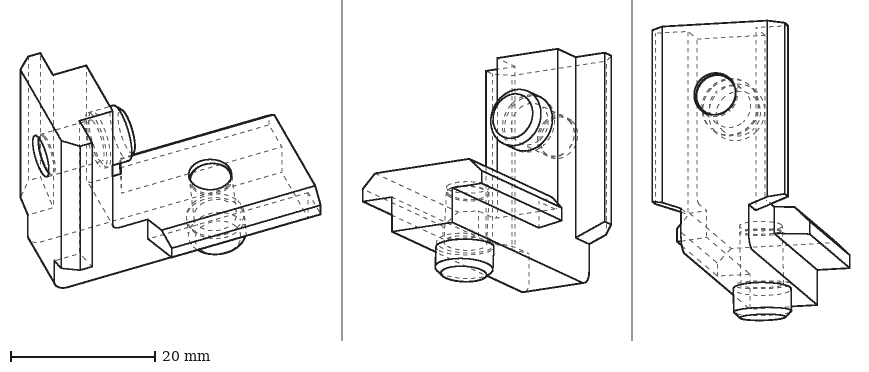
import cadquery as cq
import math

LEG_LENGTH = 38.0
LEG_HEIGHT = 32.0
LEG_THICKNESS = 8.78
STEM_WIDTH = 9.7
WING_WIDTH = 19.0
WING_THICKNESS = 3.8
WING_CHAMFER = 1.98
WING_END_ANGLE = 20.0
FLOOR_WING_START = 14.02
WALL_WING_START = 6.0
OUTER_CORNER_RADIUS = 2.0
INNER_CORNER_RADIUS = 1.0

HEAD_DIAMETER = 8.0
HEAD_CHAMFER = 0.85
SHANK_DIAMETER = 5.93
SHANK_CHAMFER = 0.15
SHANK_RECESS = 0.75
SCREW_REACH = 12.8
HEAD_SEAT_DEPTH = 0.57
FLOOR_SCREW_Y = 25.35
WALL_SCREW_Z = 22.0
FLOOR_SCREW_TILT = 5.0

HEAD_START = LEG_THICKNESS - HEAD_SEAT_DEPTH


def make_stem():
    """L-shaped stem, centred on X, with rounded inner and outer corners."""
    return (
        cq.Workplane("YZ")
        .polyline([
            (0, 0),
            (LEG_LENGTH, 0),
            (LEG_LENGTH, LEG_THICKNESS),
            (LEG_THICKNESS, LEG_THICKNESS),
            (LEG_THICKNESS, LEG_HEIGHT),
            (0, LEG_HEIGHT),
        ])
        .close()
        .extrude(STEM_WIDTH / 2, both=True)
        .edges(cq.selectors.NearestToPointSelector((0, 0, 0)))
        .fillet(OUTER_CORNER_RADIUS)
        .edges(cq.selectors.NearestToPointSelector((0, LEG_THICKNESS, LEG_THICKNESS)))
        .fillet(INNER_CORNER_RADIUS)
    )


def make_wing_plate(start, end):
    """Wing plate along +Y with its chamfered outer face at Z = 0 and its body below."""
    half_stem = STEM_WIDTH / 2
    half_wing = WING_WIDTH / 2
    end_slope = (half_wing - half_stem) * math.tan(math.radians(WING_END_ANGLE))
    outline = (
        cq.Workplane("XY")
        .polyline([
            (-half_stem, start),
            (half_stem, start),
            (half_wing, start + end_slope),
            (half_wing, end),
            (-half_wing, end),
            (-half_wing, start + end_slope),
        ])
        .close()
        .extrude(-WING_THICKNESS)
    )
    return outline.faces(">Z").edges("|Y").chamfer(WING_CHAMFER)


def on_floor_leg(shape):
    """Move a shape from the Z = 0 face to the top face of the horizontal leg."""
    return shape.translate((0, 0, LEG_THICKNESS))


def on_wall_leg(shape):
    """Turn a shape from the Z = 0 face, Y along the leg, to the front of the upright leg."""
    return shape.rotate((0, 0, 0), (1, 0, 0), 90)


def make_screw_hole():
    """Space for a screw along -Z from a leg face at Z = 0, extended past both sides."""
    shank_bore = cq.Workplane("XY").workplane(offset=SCREW_REACH).circle(SHANK_DIAMETER / 2)
    head_seat = cq.Workplane("XY").workplane(offset=-HEAD_START).circle(HEAD_DIAMETER / 2)
    return shank_bore.extrude(-2 * SCREW_REACH).union(head_seat.extrude(HEAD_START - SCREW_REACH))


def make_screw():
    """Screw along -Z, with the leg face at Z = 0."""
    shank = (
        cq.Workplane("XY")
        .workplane(offset=-SHANK_RECESS)
        .circle(SHANK_DIAMETER / 2)
        .extrude(SHANK_RECESS - HEAD_START)
        .faces(">Z")
        .chamfer(SHANK_CHAMFER)
    )
    head = (
        cq.Workplane("XY")
        .workplane(offset=-HEAD_START)
        .circle(HEAD_DIAMETER / 2)
        .extrude(HEAD_START - SCREW_REACH)
        .faces("<Z")
        .chamfer(HEAD_CHAMFER)
    )
    return shank.union(head)


def place_in_floor(shape):
    """Tilt a screw-shaped body and put it in the horizontal leg."""
    tilted = shape.rotate((0, 0, 0), (1, 0, 0), FLOOR_SCREW_TILT)
    return on_floor_leg(tilted.translate((0, FLOOR_SCREW_Y, 0)))


def place_in_wall(shape):
    """Put a screw-shaped body square in the upright leg."""
    return on_wall_leg(shape.translate((0, WALL_SCREW_Z, 0)))


def make_bracket():
    """Stem and both wing plates as one solid, with a hole for each screw."""
    bracket = (
        make_stem()
        .union(on_floor_leg(make_wing_plate(FLOOR_WING_START, LEG_LENGTH)))
        .union(on_wall_leg(make_wing_plate(WALL_WING_START, LEG_HEIGHT)))
    )
    for place in (place_in_floor, place_in_wall):
        bracket = bracket.cut(place(make_screw_hole()))
    return bracket


bracket = make_bracket()
screws = [place(make_screw()) for place in (place_in_floor, place_in_wall)]

result = cq.Compound.makeCompound([bracket.solids().val(), *[screw.solids().val() for screw in screws]])